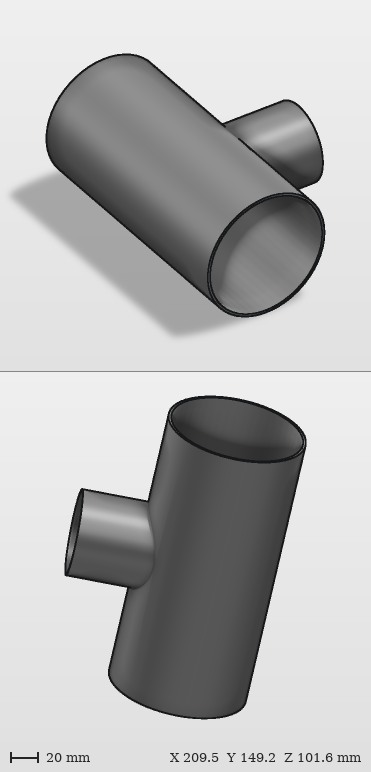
import cadquery as cq

run_length = 209.5
run_outer_diameter = 101.6
run_inner_diameter = 97.5
branch_outer_diameter = 63.5
branch_inner_diameter = 60.1
overall_depth = 149.2
junction_fillet = 1.6
seam_margin = 2.0

branch_reach = overall_depth - run_outer_diameter / 2


def run_cylinder(diameter):
    """Cylinder along X, centred on the origin."""
    return cq.Workplane("YZ").circle(diameter / 2).extrude(run_length / 2, both=True)


def branch_cylinder(diameter):
    """Cylinder along +Y, from the run axis to the branch end."""
    return cq.Workplane("XZ").circle(diameter / 2).extrude(-branch_reach)


def outer_body():
    """Run and branch joined, with a small fillet along the saddle-shaped seam."""
    body = run_cylinder(run_outer_diameter).union(branch_cylinder(branch_outer_diameter))
    seam_box = cq.selectors.BoxSelector(
        (-branch_outer_diameter, 0, -branch_outer_diameter),
        (branch_outer_diameter, run_outer_diameter / 2 + seam_margin, branch_outer_diameter),
        boundingbox=True,
    )
    return body.edges(seam_box).fillet(junction_fillet)


result = (
    outer_body()
    .cut(run_cylinder(run_inner_diameter))
    .cut(branch_cylinder(branch_inner_diameter))
)